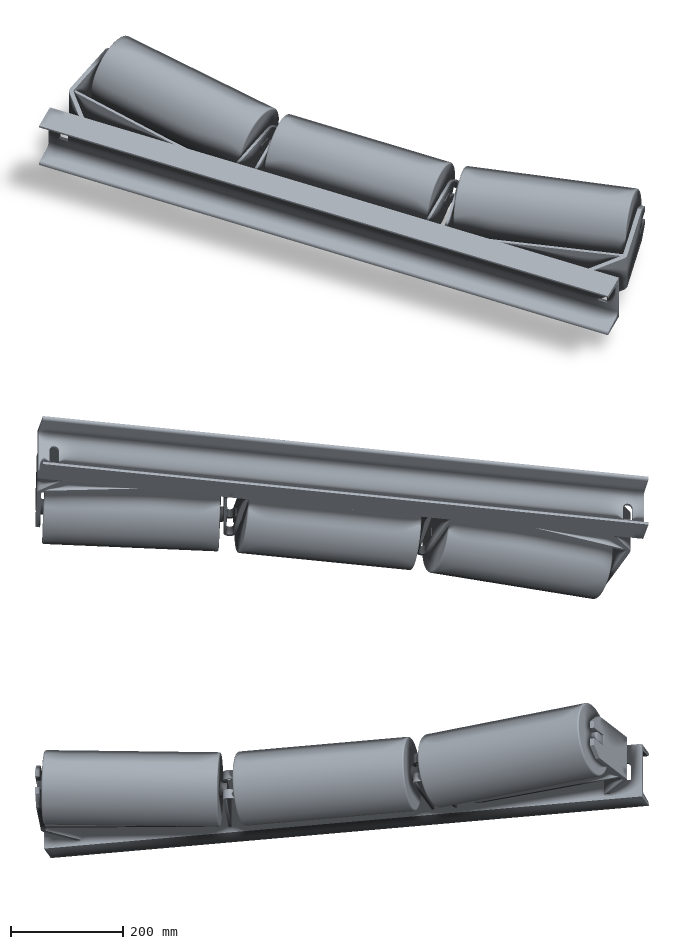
import cadquery as cq
import math


BEAM_LENGTH = 1100.0
BEAM_HEIGHT = 100.0
FLANGE_WIDTH = 50.0
WEB_THICKNESS = 6.0
FLANGE_THICKNESS = 8.5
FLANGE_TAPER = 0.08
ROOT_RADIUS = 8.5
TOE_RADIUS = 4.5

MOUNT_SLOT_WIDTH = 17.0
MOUNT_SLOT_HEIGHT = 33.0
MOUNT_SLOT_INSET = 29.0

ROLLER_DIAMETER = 133.0
ROLLER_LENGTH = 315.0
ROLLER_EDGE_RADIUS = 3.0
SHAFT_DIAMETER = 28.0
SHAFT_LENGTH = 340.0
TONGUE_WIDTH = 17.0
TONGUE_HEIGHT = 24.0
SHOULDER_LENGTH = 5.0
TONGUE_START = ROLLER_LENGTH / 2 + SHOULDER_LENGTH
PLATE_GAP = 6.0
PLATE_FACE = ROLLER_LENGTH / 2 + PLATE_GAP

TROUGH_ANGLE = 10.0
TILT_ANGLE = 2.3
COS_TROUGH = math.cos(math.radians(TROUGH_ANGLE))
SIN_TROUGH = math.sin(math.radians(TROUGH_ANGLE))
CENTRE_Y = 117.0
CENTRE_Z = -13.4
BRANCH_X = -177.8
BRANCH_TO_WING = 175.2
WING_X = BRANCH_X - BRANCH_TO_WING * COS_TROUGH
WING_Y = CENTRE_Y + BRANCH_TO_WING * SIN_TROUGH
WING_Z = CENTRE_Z + BRANCH_TO_WING * math.sin(math.radians(TILT_ANGLE))

ARM_WIDTH = 80.0
SHAFT_SLOT_WIDTH = 20.0
ARM_THICKNESS = 8.0
ARM_TIP = 30.0
ARM_TIP_WIDTH = 46.0
ARM_TIP_TAPER = 25.0
KNEE_DROP = 118.0
KNEE_RADIUS = 14.0
ARM_FOOT_X = -490.5
HAIRPIN_THICKNESS = 5.0
HAIRPIN_WIDTH = 53.0
HAIRPIN_TOP = 147.0
STRUT_THICKNESS = 5.0
STRUT_WIDTH = 70.0
STRUT_FOOT_X = -238.0
STRUT_HEAD_Y = 72.0


def wing_point(outward, upward):
    """XY point at distances along and square to the left wing roller's axis."""
    return (
        WING_X - outward * COS_TROUGH + upward * SIN_TROUGH,
        WING_Y + outward * SIN_TROUGH + upward * COS_TROUGH,
    )


def plate(outline, width, middle_z=0.0):
    """Bracket plate of a given Z width from a closed XY wire."""
    return outline.extrude(width).translate((0, 0, middle_z - width / 2))


def rod(diameter, length):
    """Cylinder along X, centred on the origin."""
    return cq.Workplane("YZ").workplane(offset=-length / 2).circle(diameter / 2).extrude(length)


def mirrored(shape):
    return shape.mirror("YZ")


def place_on_left_wing(shape):
    """Move a shape built along X at the origin onto the left wing axis."""
    tilted = shape.rotate((0, 0, 0), (0, 1, 0), TILT_ANGLE)
    troughed = tilted.rotate((0, 0, 0), (0, 0, 1), -TROUGH_ANGLE)
    return troughed.translate((WING_X, WING_Y, WING_Z))


def make_beam():
    """Channel with tapered flanges pointing toward -Y and a mounting slot near each end."""
    half_height = BEAM_HEIGHT / 2
    root_drop = FLANGE_TAPER * (FLANGE_WIDTH / 2 - WEB_THICKNESS)
    toe_rise = FLANGE_TAPER * FLANGE_WIDTH / 2
    root_z = half_height - FLANGE_THICKNESS - root_drop
    toe_z = half_height - FLANGE_THICKNESS + toe_rise
    profile = [
        (0, -half_height),
        (0, half_height),
        (-FLANGE_WIDTH, half_height),
        (-FLANGE_WIDTH, toe_z),
        (-WEB_THICKNESS, root_z),
        (-WEB_THICKNESS, -root_z),
        (-FLANGE_WIDTH, -toe_z),
        (-FLANGE_WIDTH, -half_height),
    ]
    beam = cq.Workplane("YZ").polyline(profile).close().extrude(BEAM_LENGTH)
    beam = beam.translate((-BEAM_LENGTH / 2, 0, 0))
    for z in (root_z, -root_z):
        beam = beam.edges(cq.NearestToPointSelector((0, -WEB_THICKNESS, z))).fillet(ROOT_RADIUS)
    for z in (toe_z, -toe_z):
        beam = beam.edges(cq.NearestToPointSelector((0, -FLANGE_WIDTH, z))).fillet(TOE_RADIUS)

    slot_radius = MOUNT_SLOT_WIDTH / 2
    slot_bottom = -MOUNT_SLOT_HEIGHT / 2
    slot_shoulder = MOUNT_SLOT_HEIGHT / 2 - slot_radius
    for side in (-1, 1):
        slot_x = side * (BEAM_LENGTH / 2 - MOUNT_SLOT_INSET)
        slot = (
            cq.Workplane("XZ")
            .moveTo(slot_x - slot_radius, slot_bottom)
            .lineTo(slot_x - slot_radius, slot_shoulder)
            .threePointArc((slot_x, MOUNT_SLOT_HEIGHT / 2), (slot_x + slot_radius, slot_shoulder))
            .lineTo(slot_x + slot_radius, slot_bottom)
            .close()
            .extrude(WEB_THICKNESS)
        )
        beam = beam.cut(slot)
    return beam


def make_arm():
    """Left outer arm: bent plate with a tapered tip and an open shaft slot."""
    outer_face = PLATE_FACE + ARM_THICKNESS
    knee_outer = wing_point(outer_face, -KNEE_DROP)
    leg_angle = math.atan2(ARM_FOOT_X - knee_outer[0], knee_outer[1])

    arm_normal = (COS_TROUGH, -SIN_TROUGH)
    leg_normal = (math.cos(leg_angle), math.sin(leg_angle))
    mitre = ARM_THICKNESS / (1 + arm_normal[0] * leg_normal[0] + arm_normal[1] * leg_normal[1])
    knee_inner = (
        knee_outer[0] + mitre * (arm_normal[0] + leg_normal[0]),
        knee_outer[1] + mitre * (arm_normal[1] + leg_normal[1]),
    )
    outline = [
        wing_point(outer_face, ARM_TIP),
        knee_outer,
        (ARM_FOOT_X, 0),
        (ARM_FOOT_X + ARM_THICKNESS / math.cos(leg_angle), 0),
        knee_inner,
        wing_point(PLATE_FACE, ARM_TIP),
    ]
    arm = plate(cq.Workplane("XY").polyline(outline).close(), ARM_WIDTH)
    arm = arm.edges(cq.NearestToPointSelector((*knee_outer, 0))).fillet(KNEE_RADIUS)
    arm = arm.edges(cq.NearestToPointSelector((*knee_inner, 0))).fillet(KNEE_RADIUS - ARM_THICKNESS)

    face = cq.Plane(
        origin=(*wing_point(outer_face, 0), 0),
        xDir=(SIN_TROUGH, COS_TROUGH, 0),
        normal=(COS_TROUGH, -SIN_TROUGH, 0),
    )
    for side in (-1, 1):
        corner = [
            (ARM_TIP, side * ARM_TIP_WIDTH / 2),
            (ARM_TIP, side * ARM_WIDTH / 2),
            (ARM_TIP - ARM_TIP_TAPER, side * ARM_WIDTH / 2),
        ]
        arm = arm.cut(cq.Workplane(face).polyline(corner).close().extrude(ARM_THICKNESS))
    slot_bottom = -TONGUE_HEIGHT / 2
    slot = (
        cq.Workplane(face)
        .center((slot_bottom + ARM_TIP) / 2, 0)
        .rect(ARM_TIP - slot_bottom, SHAFT_SLOT_WIDTH)
        .extrude(ARM_THICKNESS)
    )
    return arm.cut(slot)


def make_strut():
    """Left brace from the inside of the arm's knee down to the web."""
    head_x = wing_point(PLATE_FACE + ARM_THICKNESS / 2, -KNEE_DROP)[0]
    slope = math.atan2(STRUT_HEAD_Y, STRUT_FOOT_X - head_x)
    outline = [
        (head_x, STRUT_HEAD_Y),
        (STRUT_FOOT_X, 0),
        (STRUT_FOOT_X - STRUT_THICKNESS / math.sin(slope), 0),
        (head_x, STRUT_HEAD_Y - STRUT_THICKNESS / math.cos(slope)),
    ]
    return plate(cq.Workplane("XY").polyline(outline).close(), STRUT_WIDTH)


def make_hairpin():
    """Left inner bracket: one strip bent over, holding a centre and a wing shaft."""
    straight_x = -PLATE_FACE
    wing_face = wing_point(-PLATE_FACE, 0)
    radius = (
        (straight_x - wing_face[0]) * COS_TROUGH + (wing_face[1] - HAIRPIN_TOP) * SIN_TROUGH
    ) / (1 + COS_TROUGH - SIN_TROUGH)
    bend_x = straight_x - radius
    bend_y = HAIRPIN_TOP - radius
    foot_x = wing_face[0] - wing_face[1] * SIN_TROUGH / COS_TROUGH

    def filled(bend_radius, inset):
        """Area under the strip's outer or inner face."""
        outline = (
            cq.Workplane("XY")
            .moveTo(straight_x - inset, 0)
            .lineTo(straight_x - inset, bend_y)
            .threePointArc(
                (bend_x, bend_y + bend_radius),
                (bend_x - bend_radius * COS_TROUGH, bend_y + bend_radius * SIN_TROUGH),
            )
            .lineTo(foot_x + inset / COS_TROUGH, 0)
            .close()
        )
        return plate(outline, HAIRPIN_WIDTH, CENTRE_Z)

    hairpin = filled(radius, 0).cut(filled(radius - HAIRPIN_THICKNESS, HAIRPIN_THICKNESS))
    slot_bottom = CENTRE_Y - TONGUE_HEIGHT / 2
    slot = cq.Workplane("XY").box(4 * radius, HAIRPIN_TOP - slot_bottom, SHAFT_SLOT_WIDTH)
    return hairpin.cut(slot.translate((bend_x, (HAIRPIN_TOP + slot_bottom) / 2, CENTRE_Z)))


def make_frame():
    """Welded frame: the beam with all its brackets as one solid."""
    left_brackets = make_arm().union(make_strut()).union(make_hairpin())
    return make_beam().union(left_brackets).union(mirrored(left_brackets))


def make_roller():
    """Roller along X with rounded rims, bored for its shaft."""
    rounded = rod(ROLLER_DIAMETER, ROLLER_LENGTH).edges("%CIRCLE").fillet(ROLLER_EDGE_RADIUS)
    return rounded.cut(rod(SHAFT_DIAMETER, ROLLER_LENGTH))


def make_shaft():
    """Round shaft with a rectangular tongue on each end that drops into the slots."""
    tongue = cq.Workplane("XY").box(SHAFT_LENGTH, TONGUE_HEIGHT, TONGUE_WIDTH)
    ends = rod(SHAFT_DIAMETER, SHAFT_LENGTH).intersect(tongue)
    return rod(SHAFT_DIAMETER, 2 * TONGUE_START).union(ends)


frame = make_frame()
bodies = [frame.val()]
for make_part in (make_roller, make_shaft):
    part = make_part()
    left_wing = place_on_left_wing(part)
    bodies.append(part.translate((0, CENTRE_Y, CENTRE_Z)).val())
    bodies.append(left_wing.val())
    bodies.append(mirrored(left_wing).val())

result = cq.Compound.makeCompound(bodies)